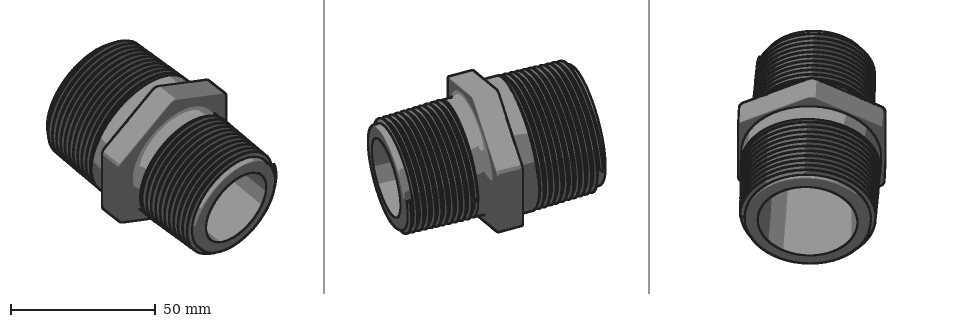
import cadquery as cq
import math

length = 73.15

hex_start = 31.8
hex_width = 9.5
hex_flats = 50.8
hex_corner_radius = 3.15
hex_edge_radius = 0.7
hex_end = hex_start + hex_width

large_collar_radius = 48.5 / 2
small_collar_radius = 42.1 / 2
large_collar_start = 25.75
small_collar_end = 46.95
collar_fillet = 2.2
large_collar_slope = 0.2
small_collar_slope = 0.65

taper = 1 / 32
ten_pitches = 22.1
pitch = ten_pitches / 10
thread_depth = 1.6
crest_width = 0.3
root_width = 1.6
root_overlap = 0.2
large_root_radius = 21.8
small_root_radius = 18.9
large_thread_start = 1.75
large_thread_turns = 10.7
small_thread_start = 47.1
small_thread_turns = 11.05
end_rounding = 0.7

large_bore_radius = 34.5 / 2
small_bore_radius = 28.45 / 2


def large_root(x):
    """Root radius of the large thread at a place along X."""
    return large_root_radius + taper * x


def small_root(x):
    """Root radius of the small thread at a place along X."""
    return small_root_radius + taper * (length - x)


def turned(outline):
    """Solid of revolution around X from (x, radius) points, closed along the axis."""
    return outline.close().revolve(360, (0, 0), (1, 0))


def threaded_body():
    """Root cones, collars and the fillet into the hexagon, as one turned solid."""
    large_slope_start = large_collar_start - large_collar_slope
    small_slope_end = small_collar_end + small_collar_slope
    outline = (
        cq.Workplane("XY")
        .lineTo(0, large_root(0))
        .lineTo(large_slope_start, large_root(large_slope_start))
        .lineTo(large_collar_start, large_collar_radius)
        .lineTo(hex_end, large_collar_radius)
        .lineTo(hex_end, small_collar_radius + collar_fillet)
        .radiusArc((hex_end + collar_fillet, small_collar_radius), -collar_fillet)
        .lineTo(small_collar_end, small_collar_radius)
        .lineTo(small_slope_end, small_root(small_slope_end))
        .lineTo(length, small_root(length))
        .lineTo(length, 0)
    )
    return turned(outline).faces("<X or >X").edges().fillet(end_rounding)


def hexagon():
    """Hexagonal grip with flats on the Y sides, rounded corners and rounded rims."""
    across_corners = hex_flats / math.cos(math.radians(30))
    prism = (
        cq.Workplane("YZ", origin=(hex_start, 0, 0))
        .transformed(rotate=(0, 0, 90))
        .polygon(6, across_corners)
        .extrude(hex_width)
    )
    return prism.edges("|X").fillet(hex_corner_radius).faces("<X or >X").edges().fillet(hex_edge_radius)


def thread_ridge(start, turns, root_radius, growth):
    """Right-handed helical ridge from the +Y side; its radius grows by growth for each unit along X."""
    path = cq.Wire.makeHelix(pitch, turns * pitch, root_radius, angle=math.degrees(math.atan(growth)))
    profile = (
        cq.Workplane("XZ")
        .moveTo(root_radius - root_overlap, -root_width / 2)
        .lineTo(root_radius, -root_width / 2)
        .lineTo(root_radius + thread_depth, -crest_width / 2)
        .lineTo(root_radius + thread_depth, crest_width / 2)
        .lineTo(root_radius, root_width / 2)
        .lineTo(root_radius - root_overlap, root_width / 2)
        .close()
    )
    ridge = profile.sweep(path, isFrenet=True)
    return ridge.rotate((0, 0, 0), (1, 1, 1), 120).translate((start, 0, 0))


def bore():
    """Conical through bore, wider at the large end."""
    outline = (
        cq.Workplane("XY")
        .lineTo(0, large_bore_radius)
        .lineTo(length, small_bore_radius)
        .lineTo(length, 0)
    )
    return turned(outline)


large_ridge = thread_ridge(large_thread_start, large_thread_turns, large_root(large_thread_start), taper)
small_ridge = thread_ridge(small_thread_start, small_thread_turns, small_root(small_thread_start), -taper)

body = threaded_body().union(hexagon()).cut(bore())
result = body.union(large_ridge).union(small_ridge)